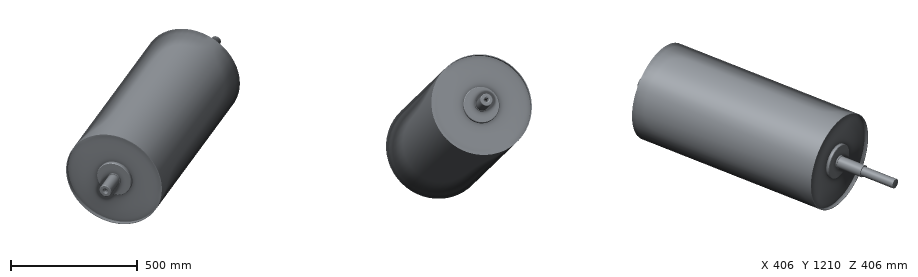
import cadquery as cq
import math

drum_diameter = 406.0
shell_bore = 400.0
drum_length = 850.0
end_recess = 15.0

hub_diameter = 145.0
hub_height = 14.0
hub_chamfer = 2.0

shaft_diameter = 50.0
collar_diameter = 55.0
collar_projection = 5.0
front_shaft_length = 95.0
journal_diameter = 40.0
journal_length = 150.0
overall_length = 1210.0
shaft_end_chamfer = 2.0

tap_diameter = 13.84
tap_depth = 36.0
drill_point_half_angle = math.radians(60)
relief_diameter = 17.0
relief_depth = 13.0
countersink_diameter = 25.0
countersink_half_angle = math.radians(60)

front_end = -overall_length / 2
back_end = overall_length / 2
drum_front = front_end + front_shaft_length
drum_back = drum_front + drum_length
journal_start = back_end - journal_length


def cylinder(diameter, y_start, y_end):
    """Solid cylinder on the Y axis between two Y positions."""
    base = cq.Workplane("XZ", origin=(0, y_start, 0))
    return base.circle(diameter / 2).extrude(y_start - y_end)


def make_drum():
    drum = cylinder(drum_diameter, drum_front, drum_back)
    drum = drum.cut(cylinder(shell_bore, drum_front, drum_front + end_recess))
    drum = drum.cut(cylinder(shell_bore, drum_back - end_recess, drum_back))
    hub_front = drum_front + end_recess - hub_height
    hub_back = drum_back - end_recess + hub_height
    hub = cylinder(hub_diameter, hub_front, hub_back)
    return drum.union(hub.faces("<Y or >Y").chamfer(hub_chamfer))


def make_shaft():
    shaft = cylinder(shaft_diameter, front_end, journal_start)
    shaft = shaft.faces("<Y").chamfer(shaft_end_chamfer)
    collar_front = drum_front - collar_projection
    collar_back = drum_back + collar_projection
    shaft = shaft.union(cylinder(collar_diameter, collar_front, collar_back))
    return shaft.union(cylinder(journal_diameter, journal_start, back_end))


def cone(diameter, half_angle, y_base):
    """Solid cone on the Y axis, its apex pointing toward +Y."""
    radius = diameter / 2
    height = radius / math.tan(half_angle)
    base_centre = cq.Vector(0, y_base, 0)
    axis = cq.Vector(0, 1, 0)
    return cq.Workplane(cq.Solid.makeCone(radius, 0, height, base_centre, axis))


def make_centre_hole():
    """Drilled tap hole with a pointed bottom, a wider relief and a countersunk mouth."""
    tap_end = front_end + tap_depth
    hole = cylinder(tap_diameter, front_end, tap_end)
    hole = hole.union(cone(tap_diameter, drill_point_half_angle, tap_end))
    hole = hole.union(cylinder(relief_diameter, front_end, front_end + relief_depth))
    return hole.union(cone(countersink_diameter, countersink_half_angle, front_end))


result = make_drum().union(make_shaft()).cut(make_centre_hole())